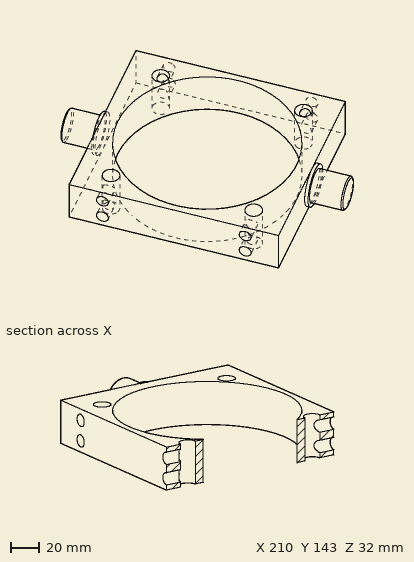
import cadquery as cq

overall_length = 210.0
frame_length = 156.0
frame_width = 143.0
frame_height = 32.0
bore_diameter = 133.1

bolt_spacing = 106.3
corner_hole_diameter = 12.4
side_hole_diameter = 8.8
side_hole_spacing = 15.1
side_hole_depth = (frame_width - bolt_spacing) / 2

trunnion_diameter = 25.0
trunnion_chamfer = 1.0
collar_diameter = 31.5
collar_length = 2.5
trunnion_length = (overall_length - frame_length) / 2


def make_frame():
    """Rectangular plate with a large bore and four corner holes."""
    plate = cq.Workplane("XY").box(frame_length, frame_width, frame_height)
    plate = plate.faces(">Z").workplane().hole(bore_diameter)
    return (
        plate.faces(">Z").workplane(origin=(0, 0, 0))
        .rarray(bolt_spacing, bolt_spacing, 2, 2)
        .hole(corner_hole_diameter)
    )


def make_trunnion(side):
    """Collar and chamfered pin; side is -1 or +1 along X."""
    end_face = cq.Workplane("YZ", origin=(side * frame_length / 2, 0, 0))
    collar = end_face.circle(collar_diameter / 2).extrude(side * collar_length)
    pin = end_face.circle(trunnion_diameter / 2).extrude(side * trunnion_length)
    tip = ">X" if side > 0 else "<X"
    return collar.union(pin.faces(tip).chamfer(trunnion_chamfer))


def make_side_holes(side):
    """Four cutters reaching the corner holes; side is -1 or +1 along Y."""
    return (
        cq.Workplane("XZ", origin=(0, side * frame_width / 2, 0))
        .rarray(bolt_spacing, side_hole_spacing, 2, 2)
        .circle(side_hole_diameter / 2)
        .extrude(side * side_hole_depth)
    )


result = make_frame()
for side in (-1, 1):
    result = result.union(make_trunnion(side)).cut(make_side_holes(side))